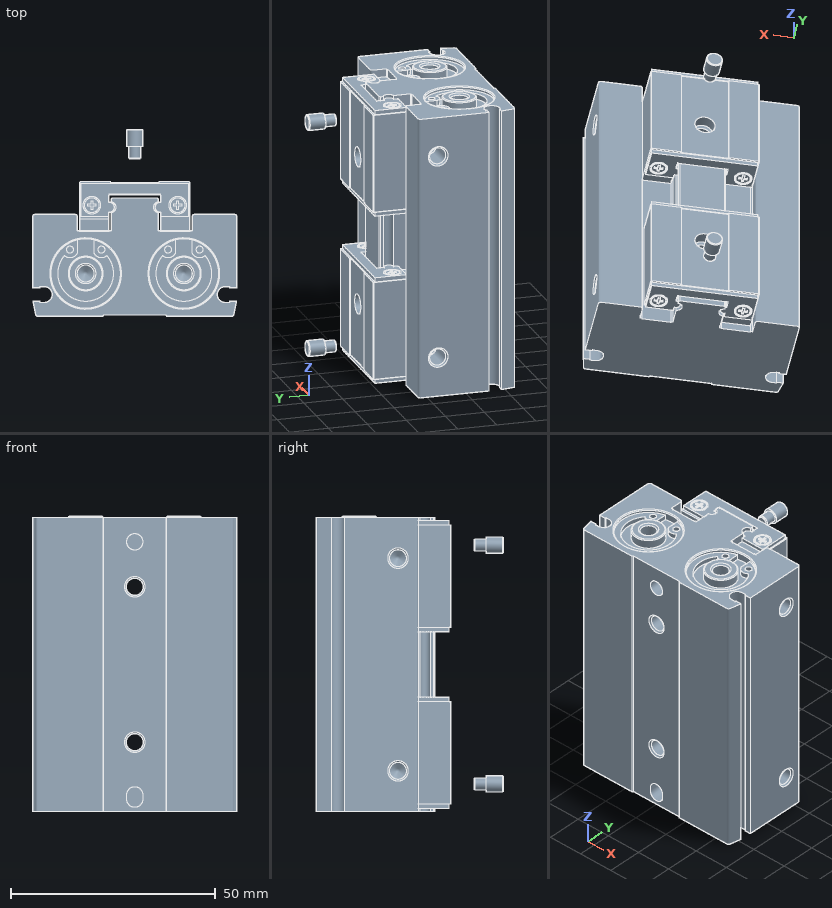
import cadquery as cq
import math

BODY_WIDTH = 50.0
BODY_DEPTH = 25.0
BODY_LENGTH = 72.0
BACK_CORNER = 0.7
MID_Z = BODY_LENGTH / 2

CHANNEL_WIDTH = 28.0
CHANNEL_FLOOR_Y = 21.0
LEG_GROOVE_DEPTH = 0.2

FOOT_CORNER = 0.6
FOOT_TOP_HALF = 24.9
FOOT_LOW_HALF = 24.15

SIDE_SLOT_Y = 5.35
SIDE_SLOT_DIAMETER = 3.8
SIDE_SLOT_OPENING = 3.24
SIDE_SLOT_LIP = 1.8
SIDE_SLOT_CENTRE = 22.1

FRONT_RELIEF_HALF = 7.8
FRONT_RELIEF_DEPTH = 0.3
FRONT_RELIEF_SLOPE = 0.2

RAIL_WIDTH = 11.6
RAIL_TOP_Y = 29.0
RAIL_CHAMFER = 0.3
RACE_Y = 26.7
RACE_RADIUS = 1.3
RACE_CENTRE = 5.9

THREAD = 5.0
TAP_DRILL = 4.13
DRILL_POINT = 118.0
SIDE_HOLE_Y = 20.0
SIDE_HOLE_SPACING = 52.0
SIDE_HOLE_DEPTH = 8.0
THROUGH_HOLE_SPACING = 38.0
DOWEL_WIDTH = 4.0
DOWEL_DEPTH = 4.0
DOWEL_Z = 66.0
DOWEL_SLOT_LENGTH = 5.0
DOWEL_SLOT_Z = 3.6

BORE_SPACING = 24.0
BORE_Y = 10.5
BORE_DIAMETER = 17.0
BORE_CHAMFER = 0.25
RING_DEPTH = 0.9
RING_TOP_Z = BODY_LENGTH - RING_DEPTH
RING_THICKNESS = 1.4
RING_INNER_RADIUS = 6.8
RING_GAP = 4.0
RING_LUG_RADIUS = 2.0
RING_HOLE_DIAMETER = 1.7
RING_HOLE_X = 3.85
RING_HOLE_Y = 5.85
BORE_FLOOR_Z = RING_TOP_Z - RING_THICKNESS

ROD_DIAMETER = 8.5
ROD_CHAMFER = 0.25
ROD_TOP_Z = BODY_LENGTH + 0.3
ROD_LENGTH = 16.0
ROD_THREAD_DEPTH = 10.0

CARRIAGE_SPACING = 43.2
BLOCK_WIDTH = 27.0
BLOCK_LENGTH = 25.1
BLOCK_TOP_Y = 33.0
BLOCK_CHAMFER = 0.2
BLOCK_RELIEF_WIDTH = 11.75
BLOCK_RELIEF_DEPTH = 0.25
SHORT_LEG_Y = 23.8
CAP_WIDTH = 26.4
CAP_TOP_Y = 32.5
CAP_BOTTOM_Y = 24.4
CAP_THICKNESS = 1.1
OPENING_WIDTH = 12.6
OPENING_TOP_Y = 29.65
CAP_OPENING_TOP_Y = 29.9
CAP_LUG_RADIUS = 1.2
CAP_LUG_CENTRE = 6.2
SCREW_X = 10.5
SCREW_Y = 27.2
SCREW_RECESS_DIAMETER = 4.3
SCREW_HEAD_DIAMETER = 3.6
SCREW_RECESS_DEPTH = 0.5
CROSS_LENGTH = 2.1
CROSS_WIDTH = 0.5
CROSS_DEPTH = 0.3

PIN_SPACING = 58.4
PIN_BACK_Y = 45.75
PIN_HEAD_DIAMETER = 4.0
PIN_HEAD_LENGTH = 4.2
PIN_TIP_DIAMETER = 3.0
PIN_TIP_LENGTH = 3.0
PIN_HEAD_CHAMFER = 0.2
PIN_TIP_CHAMFER = 0.25

SIDES = (-1, 1)


def slab(x0, x1, y0, y1, z0, z1):
    """Box between opposite corners."""
    return cq.Workplane("XY").box(x1 - x0, y1 - y0, z1 - z0, centered=False).translate((x0, y0, z0))


def post(x, y, diameter, z0, z1):
    """Round bar along Z."""
    return cq.Workplane("XY").workplane(offset=z0).center(x, y).circle(diameter / 2).extrude(z1 - z0)


def tapped_hole(depth):
    """Cutter for a countersunk tapped hole: mouth at the origin, running along +Z, with a drill point."""
    radius = TAP_DRILL / 2
    sink = (THREAD - TAP_DRILL) / 2
    point = radius / math.tan(math.radians(DRILL_POINT / 2))
    outline = [(0, 0), (THREAD / 2, 0), (radius, sink), (radius, depth), (0, depth + point)]
    return cq.Workplane("XZ").polyline(outline).close().revolve(360, (0, 0), (0, 1))


def housing_block():
    """Extruded body with tapered feet, back channel and shallow front relief."""
    half = BODY_WIDTH / 2
    channel = CHANNEL_WIDTH / 2
    slot_low = SIDE_SLOT_Y - SIDE_SLOT_OPENING / 2
    right_half = [
        (FRONT_RELIEF_HALF - FRONT_RELIEF_SLOPE, FRONT_RELIEF_DEPTH),
        (FRONT_RELIEF_HALF, 0),
        (FOOT_LOW_HALF, 0),
        (FOOT_TOP_HALF, slot_low),
        (half, slot_low),
        (half, BODY_DEPTH),
        (channel, BODY_DEPTH),
        (channel, CHANNEL_FLOOR_Y),
    ]
    left_half = [(-x, y) for x, y in reversed(right_half)]
    block = cq.Workplane("XY").polyline(right_half + left_half).close().extrude(BODY_LENGTH)
    block = block.edges("|Z and >Y").fillet(BACK_CORNER)
    for side in SIDES:
        foot_corner = cq.selectors.NearestToPointSelector((side * FOOT_LOW_HALF, 0, MID_Z))
        block = block.edges(foot_corner).fillet(FOOT_CORNER)
    return block


def rail():
    """Guide rail with a round ball race along each side."""
    half = RAIL_WIDTH / 2
    bar = slab(-half, half, CHANNEL_FLOOR_Y, RAIL_TOP_Y, 0, BODY_LENGTH)
    bar = bar.edges("|Z and >Y").chamfer(RAIL_CHAMFER)
    for side in SIDES:
        bar = bar.cut(post(side * RACE_CENTRE, RACE_Y, 2 * RACE_RADIUS, 0, BODY_LENGTH))
    return bar


def leg_grooves():
    """Shallow clearance grooves in the channel floor under the carriage legs."""
    cutter = cq.Workplane("XY")
    for side in SIDES:
        x0, x1 = sorted((side * OPENING_WIDTH / 2, side * BLOCK_WIDTH / 2))
        groove_floor = CHANNEL_FLOOR_Y - LEG_GROOVE_DEPTH
        cutter = cutter.add(slab(x0, x1, groove_floor, CHANNEL_FLOOR_Y, 0, BODY_LENGTH))
    return cutter.combine()


def side_slots():
    """Round-bottomed slots along both sides, narrower at their openings."""
    cutter = cq.Workplane("XY")
    lip_inner = BODY_WIDTH / 2 - SIDE_SLOT_LIP
    for side in SIDES:
        for end, height in ((BODY_WIDTH / 2, SIDE_SLOT_OPENING), (lip_inner, SIDE_SLOT_DIAMETER)):
            x0, x1 = sorted((side * SIDE_SLOT_CENTRE, side * end))
            y0 = SIDE_SLOT_Y - height / 2
            cutter = cutter.add(slab(x0, x1, y0, y0 + height, 0, BODY_LENGTH))
        cutter = cutter.add(post(side * SIDE_SLOT_CENTRE, SIDE_SLOT_Y, SIDE_SLOT_DIAMETER, 0, BODY_LENGTH))
    return cutter.combine()


def mounting_holes():
    """Tapped holes in both sides, through holes along the centre line, and a dowel hole and slot."""
    holes = []
    for end in SIDES:
        for side in SIDES:
            hole = tapped_hole(SIDE_HOLE_DEPTH).rotate((0, 0, 0), (0, 1, 0), -90 * side)
            z = MID_Z + end * SIDE_HOLE_SPACING / 2
            holes.append(hole.translate((side * BODY_WIDTH / 2, SIDE_HOLE_Y, z)))
        through = tapped_hole(RAIL_TOP_Y).rotate((0, 0, 0), (1, 0, 0), -90)
        holes.append(through.translate((0, FRONT_RELIEF_DEPTH, MID_Z + end * THROUGH_HOLE_SPACING / 2)))
    front = cq.Workplane("XZ")
    holes.append(front.center(0, DOWEL_Z).circle(DOWEL_WIDTH / 2).extrude(-DOWEL_DEPTH))
    slot = front.center(0, DOWEL_SLOT_Z).slot2D(DOWEL_SLOT_LENGTH, DOWEL_WIDTH, 90)
    holes.append(slot.extrude(-DOWEL_DEPTH))
    return holes


def bore_mouth(x):
    """Chamfered bore mouth with the socket for the rod below it."""
    mouth = post(x, BORE_Y, BORE_DIAMETER, BORE_FLOOR_Z, BODY_LENGTH)
    bevel = (
        cq.Workplane("XY").workplane(offset=BODY_LENGTH).center(x, BORE_Y)
        .circle(BORE_DIAMETER / 2 + BORE_CHAMFER).extrude(-2 * BORE_CHAMFER, taper=45)
    )
    socket = post(x, BORE_Y, ROD_DIAMETER, ROD_TOP_Z - ROD_LENGTH, BODY_LENGTH)
    return mouth.union(bevel).union(socket)


def snap_ring(x):
    """Snap ring in a bore mouth: open at the back, with a drilled lug each side of the gap."""
    z0 = BORE_FLOOR_Z
    z1 = RING_TOP_Z
    opening = post(x, BORE_Y, 2 * RING_INNER_RADIUS, z0, z1)
    for side in SIDES:
        opening = opening.cut(post(x + side * RING_HOLE_X, BORE_Y + RING_HOLE_Y, 2 * RING_LUG_RADIUS, z0, z1))
    ring = post(x, BORE_Y, BORE_DIAMETER, z0, z1).cut(opening)
    ring = ring.cut(slab(x - RING_GAP / 2, x + RING_GAP / 2, BORE_Y, BORE_Y + BORE_DIAMETER, z0, z1))
    for side in SIDES:
        ring = ring.cut(post(x + side * RING_HOLE_X, BORE_Y + RING_HOLE_Y, RING_HOLE_DIAMETER, z0, z1))
    return ring


def make_housing():
    housing = housing_block().cut(leg_grooves()).union(rail()).cut(side_slots())
    for hole in mounting_holes():
        housing = housing.cut(hole)
    for side in SIDES:
        x = side * BORE_SPACING / 2
        housing = housing.cut(bore_mouth(x)).union(snap_ring(x))
    return housing


def make_rod(x):
    rod = post(x, BORE_Y, ROD_DIAMETER, ROD_TOP_Z - ROD_LENGTH, ROD_TOP_Z)
    rod = rod.faces(">Z").chamfer(ROD_CHAMFER)
    thread = tapped_hole(ROD_THREAD_DEPTH).rotate((0, 0, 0), (1, 0, 0), 180)
    return rod.cut(thread.translate((x, BORE_Y, ROD_TOP_Z)))


def carriage_block(long_side):
    """Block riding on the rail, its leg on `long_side` reaching down to the channel floor."""
    half = BLOCK_WIDTH / 2
    opening = OPENING_WIDTH / 2
    z1 = BLOCK_LENGTH / 2
    block = slab(-half, half, CHANNEL_FLOOR_Y, BLOCK_TOP_Y, -z1, z1)
    block = block.edges("|Z and >Y").chamfer(BLOCK_CHAMFER)
    block = block.cut(slab(-opening, opening, CHANNEL_FLOOR_Y, OPENING_TOP_Y, -z1, z1))
    relief = BLOCK_RELIEF_WIDTH / 2
    block = block.cut(slab(-relief, relief, BLOCK_TOP_Y - BLOCK_RELIEF_DEPTH, BLOCK_TOP_Y, -z1, z1))
    short_x0, short_x1 = sorted((0, -long_side * half))
    block = block.cut(slab(short_x0, short_x1, CHANNEL_FLOOR_Y, SHORT_LEG_Y, -z1, z1))
    for side in SIDES:
        block = block.union(post(side * RACE_CENTRE, RACE_Y, 2 * RACE_RADIUS, -z1, z1))
    return block


def screw_mark(x, z):
    """Cutter for the clearance ring round a screw head and the cross recess in it, below height z."""
    bottom = z - SCREW_RECESS_DEPTH
    cutter = post(x, SCREW_Y, SCREW_RECESS_DIAMETER, bottom, z)
    cutter = cutter.cut(post(x, SCREW_Y, SCREW_HEAD_DIAMETER, bottom, z))
    cross = cq.Workplane("XY").workplane(offset=z).center(x, SCREW_Y)
    for length, width in ((CROSS_LENGTH, CROSS_WIDTH), (CROSS_WIDTH, CROSS_LENGTH)):
        cutter = cutter.union(cross.rect(length, width).extrude(-CROSS_DEPTH))
    return cutter


def end_cap():
    """End cap standing on z = 0, screwed on from above."""
    half = CAP_WIDTH / 2
    opening = OPENING_WIDTH / 2
    cap = slab(-half, half, CAP_BOTTOM_Y, CAP_TOP_Y, 0, CAP_THICKNESS)
    cap = cap.cut(slab(-opening, opening, CAP_BOTTOM_Y, CAP_OPENING_TOP_Y, 0, CAP_THICKNESS))
    for side in SIDES:
        cap = cap.union(post(side * CAP_LUG_CENTRE, RACE_Y, 2 * CAP_LUG_RADIUS, 0, CAP_THICKNESS))
        cap = cap.cut(screw_mark(side * SCREW_X, CAP_THICKNESS))
    return cap


def make_carriage(end):
    """Carriage on the upper (+1) or lower (-1) half of the rail, bored in line with the through hole."""
    carriage_z = MID_Z + end * CARRIAGE_SPACING / 2
    upper_cap = end_cap().translate((0, 0, BLOCK_LENGTH / 2))
    carriage = carriage_block(end).union(upper_cap).union(upper_cap.mirror("XY"))
    carriage = carriage.translate((0, 0, carriage_z))
    hole_z = MID_Z + end * THROUGH_HOLE_SPACING / 2
    access = cq.Workplane("XZ").center(0, hole_z).circle(THREAD / 2).extrude(-BLOCK_TOP_Y)
    return carriage.cut(access)


def make_pin(z):
    """Stepped pin along Y with its thin end toward the carriage."""
    head_front = PIN_BACK_Y - PIN_HEAD_LENGTH
    head = cq.Workplane("XZ", origin=(0, PIN_BACK_Y, z)).circle(PIN_HEAD_DIAMETER / 2).extrude(PIN_HEAD_LENGTH)
    head = head.faces(">Y").chamfer(PIN_HEAD_CHAMFER)
    tip = cq.Workplane("XZ", origin=(0, head_front, z)).circle(PIN_TIP_DIAMETER / 2).extrude(PIN_TIP_LENGTH)
    tip = tip.faces("<Y").chamfer(PIN_TIP_CHAMFER)
    return head.union(tip)


housing = make_housing()
rods = [make_rod(side * BORE_SPACING / 2) for side in SIDES]
carriages = [make_carriage(end) for end in SIDES]
pins = [make_pin(MID_Z + end * PIN_SPACING / 2) for end in SIDES]

result = cq.Compound.makeCompound([body.val() for body in [housing, *rods, *carriages, *pins]])